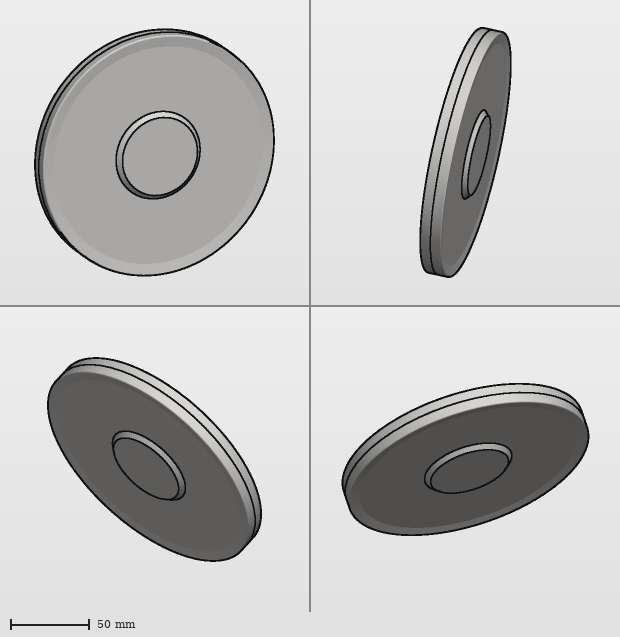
import cadquery as cq

disc_diameter = 160.0
overall_width = 18.0

rim_width = 14.4
rim_round = 1.0

dish_depth = 1.3
dish_floor_radius = 72.3

boss_top_radius = 25.9

disc_radius = disc_diameter / 2

boss_plane = overall_width / 2
rim_plane = rim_width / 2
floor_plane = rim_plane - dish_depth

boss_base_radius = boss_top_radius + boss_plane - floor_plane


def revolve_about_x(section):
    """Full turn about the X axis of a section whose X is axial and Y is the radius."""
    return section.close().revolve(360, (0, 0, 0), (1, 0, 0))


def dished_disc():
    """Disc with a cylindrical rim, a rounded rim corner and a cone down to a flat floor."""
    section = (
        cq.Workplane("XY")
        .lineTo(0, disc_radius)
        .lineTo(rim_plane, disc_radius)
        .lineTo(floor_plane, dish_floor_radius)
        .lineTo(floor_plane, 0)
    )
    return revolve_about_x(section).edges(">X").fillet(rim_round)


def boss():
    """Tapered boss, from the middle plane out to its flat top."""
    section = (
        cq.Workplane("XY")
        .lineTo(0, boss_base_radius)
        .lineTo(floor_plane, boss_base_radius)
        .lineTo(boss_plane, boss_top_radius)
        .lineTo(boss_plane, 0)
    )
    return revolve_about_x(section)


def wheel_half():
    """Half of the wheel on the +X side of the middle plane."""
    return dished_disc().union(boss()).solids()


right_half = wheel_half()
left_half = right_half.mirror("YZ").solids()

result = cq.Compound.makeCompound([left_half.val(), right_half.val()])